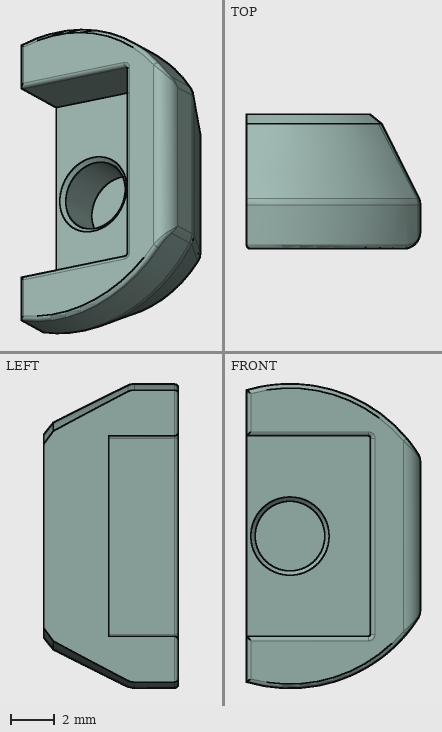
import cadquery as cq

outer_radius = 7.0
back_flat_x = -2.0
nose_flat_x = 6.0
depth = 6.2

taper_start_y = 2.2
taper_slope = 0.5
taper_blend_radius = 0.67
top_bevel_height = 0.45
top_bevel_inset = 0.56

nose_fillet = 0.8
nose_corner_fillet = 0.8
edge_fillet = 0.2

pocket_depth = 3.2
pocket_half_height = 4.6
pocket_end_x = 3.7
pocket_corner_radius = 0.1

hole_diameter = 3.2
hole_depth = 2.5
hole_chamfer = 0.2

bevel_start_y = depth - top_bevel_height
taper_inset = taper_slope * (bevel_start_y - taper_start_y)
top_inset = taper_inset + top_bevel_inset


def nearest_to(x, y, z):
    return cq.selectors.NearestToPointSelector((x, y, z))


def trace_side(outline_start, reach):
    """Trace the side profile shared by the round block and the nose, up to the top edge."""
    return (
        outline_start
        .lineTo(reach, 0)
        .lineTo(reach, taper_start_y)
        .lineTo(reach - taper_inset, bevel_start_y)
        .lineTo(reach - top_inset, depth)
    )


def make_round_block():
    """Cylinder with a blended conical taper and a bevelled top, revolved about the Y axis."""
    outline = trace_side(cq.Workplane("XY"), outer_radius).lineTo(0, depth).close()
    block = outline.revolve(360, (0, 0), (0, 1))
    return block.edges("%CIRCLE").edges(nearest_to(0, taper_start_y, 0)).fillet(taper_blend_radius)


def make_flat_sided_prism():
    """Prism along Z with a flat back and a tapered nose."""
    start = cq.Workplane("XY").moveTo(back_flat_x, 0)
    outline = trace_side(start, nose_flat_x).lineTo(back_flat_x, depth).close()
    prism = outline.extrude(outer_radius, both=True)
    return prism.edges(nearest_to(nose_flat_x, taper_start_y, 0)).fillet(taper_blend_radius)


def make_body():
    """Round block with flat back, tapered nose, rounded nose corners and a rounded nose edge."""
    prism = make_flat_sided_prism()
    body = make_round_block().intersect(prism)
    body = body.edges("|Y and >X").fillet(nose_corner_fillet)
    rounded_prism = prism.edges(nearest_to(nose_flat_x, 0, 0)).fillet(nose_fillet)
    return body.intersect(rounded_prism)


def cut_pocket(body):
    """Rectangular pocket in the open face that runs out through the back."""
    pocket = (
        cq.Workplane("XY")
        .box(2 * outer_radius, 2 * pocket_depth, 2 * pocket_half_height)
        .translate((pocket_end_x - outer_radius, 0, 0))
        .edges("|Y and >X")
        .fillet(pocket_corner_radius)
    )
    return body.cut(pocket)


def round_open_face(body):
    """Round the rim of the open face and the pocket mouth, except along the already round nose."""
    return body.faces("<Y").edges("not >X").fillet(edge_fillet)


def drill_hole(body):
    """Blind flat-bottomed hole on the Y axis, chamfered at the pocket floor."""
    hole_radius = hole_diameter / 2
    hole_end_y = pocket_depth + hole_depth
    outline = (
        cq.Workplane("XY")
        .moveTo(0, pocket_depth)
        .lineTo(hole_radius + hole_chamfer, pocket_depth)
        .lineTo(hole_radius, pocket_depth + hole_chamfer)
        .lineTo(hole_radius, hole_end_y)
        .lineTo(0, hole_end_y)
        .close()
    )
    return body.cut(outline.revolve(360, (0, 0), (0, 1)))


result = make_body()
result = cut_pocket(result)
result = round_open_face(result)
result = drill_hole(result)